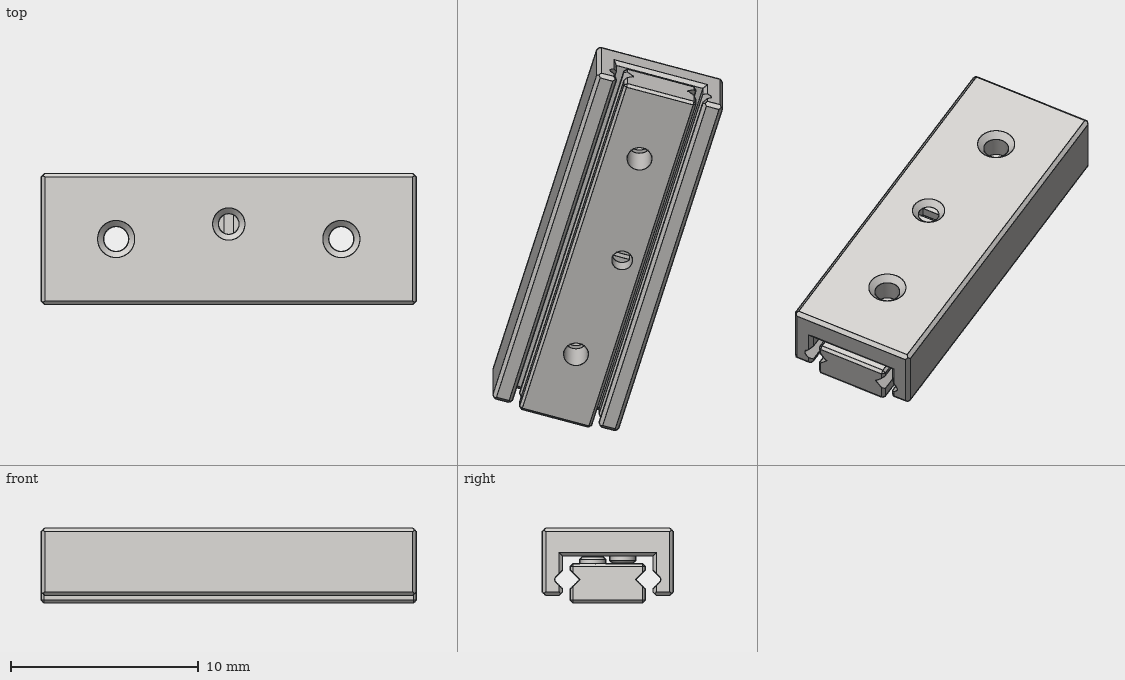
import cadquery as cq


length = 20.0
carriage_width = 7.0
carriage_bottom = 0.4
carriage_top = 4.0
carriage_chamfer = 0.2
channel_width = 4.8
channel_ceiling = 2.5

rail_width = 4.0
rail_height = 2.1
rail_chamfer = 0.15

groove_height = 1.0
groove_depth = groove_height / 2
groove_center = 1.25
carriage_groove_root_radius = 0.2

mount_spacing = 12.0
mount_diameter = 1.32
mount_countersink = 0.33
mount_points = [(-mount_spacing / 2, 0), (mount_spacing / 2, 0)]

screw_offset = 0.8
screw_countersink = 0.31
head_diameter = 1.4
head_chamfer = 0.15
head_clearance = 0.02
head_height = channel_ceiling - rail_height - head_clearance
shank_diameter = 1.1
shank_length = carriage_top - screw_countersink - channel_ceiling
slot_width = 0.5
slot_depth = 0.5


def bar(width, bottom, top):
    """Full-length bar centered on the X axis, between two heights."""
    block = cq.Workplane("XY").box(length, width, top - bottom, centered=(True, True, False))
    return block.translate((0, 0, bottom))


def groove(mouth, root):
    """Full-length V-shaped cutter with its mouth at Y = mouth and its sharp root at Y = root."""
    return (
        cq.Workplane("YZ", origin=(-length / 2, 0, groove_center))
        .moveTo(mouth, -groove_height / 2)
        .lineTo(root, 0)
        .lineTo(mouth, groove_height / 2)
        .close()
        .extrude(length)
    )


def bores(points, diameter):
    """Vertical cutters that pass through the whole slide."""
    return cq.Workplane("XY").pushPoints(points).circle(diameter / 2).extrude(carriage_top)


def countersunk_bores(points, diameter, depth):
    """Vertical cutters that open out at 45 degrees to the carriage top."""
    cones = (
        cq.Workplane("XY", origin=(0, 0, carriage_top))
        .pushPoints(points)
        .circle(diameter / 2 + depth)
        .extrude(-depth, taper=45)
    )
    return bores(points, diameter).union(cones)


def make_carriage():
    body = bar(carriage_width, carriage_bottom, carriage_top)
    body = body.cut(bar(channel_width, carriage_bottom, channel_ceiling))
    for direction in ("|X", "|Y", "|Z"):
        body = body.faces("<X or >X or <Z or >Z").edges(direction).chamfer(carriage_chamfer)
    for side, root_edge in ((-1, "<Y"), (1, ">Y")):
        wall = side * channel_width / 2
        cutter = groove(wall, wall + side * groove_depth)
        body = body.cut(cutter.edges("|X").edges(root_edge).fillet(carriage_groove_root_radius))
    body = body.cut(countersunk_bores(mount_points, mount_diameter, mount_countersink))
    return body.cut(countersunk_bores([(0, screw_offset)], shank_diameter, screw_countersink))


def make_rail():
    body = bar(rail_width, 0, rail_height).edges().chamfer(rail_chamfer)
    for side in (-1, 1):
        wall = side * rail_width / 2
        body = body.cut(groove(wall, wall - side * groove_depth))
    return body.cut(bores(mount_points, mount_diameter)).cut(bores([(0, -screw_offset)], shank_diameter))


def make_screw():
    """Stop screw with its shoulder at Z = 0, the shank up and the chamfered head down."""
    shank = cq.Workplane("XY").circle(shank_diameter / 2).extrude(shank_length)
    slot = cq.Workplane("XY").box(slot_width, shank_diameter, slot_depth, centered=(True, True, False))
    head = cq.Workplane("XY").circle(head_diameter / 2).extrude(-head_height)
    head = head.faces("<Z").edges().chamfer(head_chamfer)
    return shank.cut(slot.translate((0, 0, shank_length - slot_depth))).union(head)


carriage = make_carriage()
rail = make_rail()

screws = []
for side, shoulder, turn in ((1, channel_ceiling, 0), (-1, rail_height, 180)):
    turned_screw = make_screw().rotate((0, 0, 0), (1, 0, 0), turn)
    screws.append(turned_screw.translate((0, side * screw_offset, shoulder)))

result = cq.Compound.makeCompound([carriage.val(), rail.val(), *[screw.val() for screw in screws]])